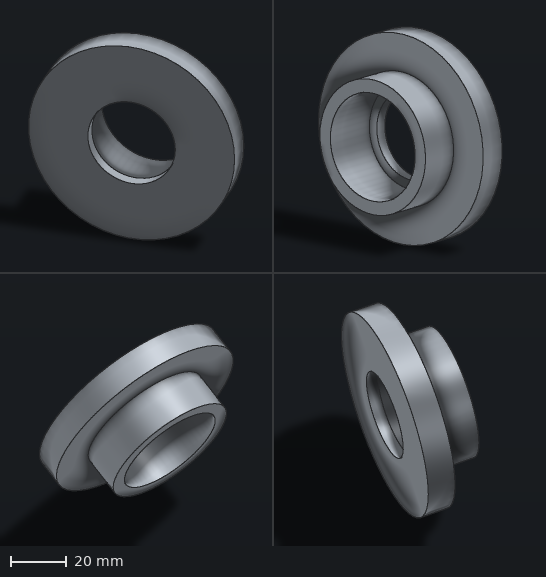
import cadquery as cq

flange_diameter = 78.0
hub_diameter = 50.0
bore_diameter = 33.0
counterbore_diameter = 40.0
total_length = 26.0
flange_thickness = 10.5
lip_thickness = 4.5


def disc(diameter, start, end):
    """Cylinder along +Y between two distances from the origin plane."""
    plane = cq.Workplane("XZ", origin=(0, start, 0))
    return plane.circle(diameter / 2).extrude(start - end)


flange = disc(flange_diameter, 0, flange_thickness)
hub = disc(hub_diameter, 0, total_length)
bore = disc(bore_diameter, 0, total_length)
counterbore = disc(counterbore_diameter, lip_thickness, total_length)

result = flange.union(hub).cut(bore).cut(counterbore)